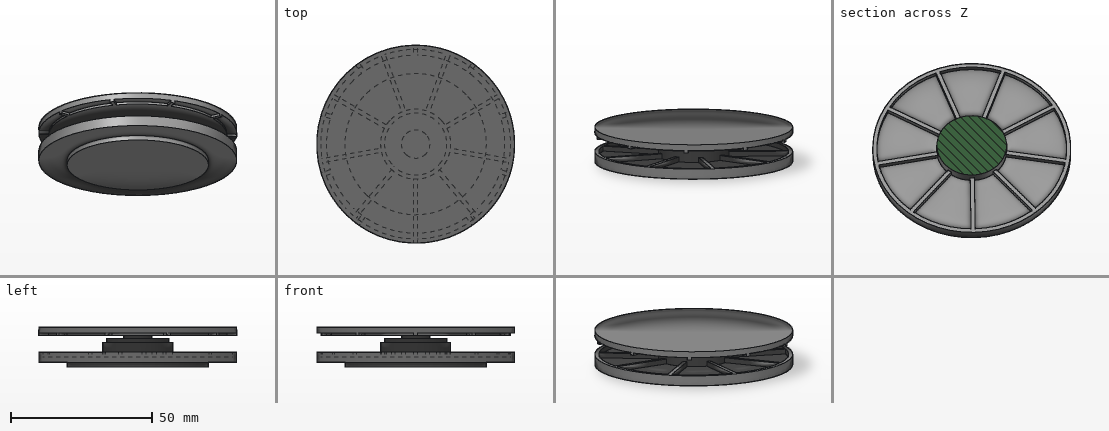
import cadquery as cq

plate_diameter = 70.0
first_rib_angle = -90.0

foot_diameter = 50.0
foot_height = 1.7

base_thickness = 3.65
hub_diameter = 24.8
hub_height = 3.35
rim_width = 1.5
pocket_depth = 1.75
base_rib_count = 9
base_rib_width = 1.5

bearing_diameter = 22.0
bearing_height = 1.5

neck_diameter = 10.0
neck_height = 1.0
step_diameter = 63.0
step_height = 0.85
top_thickness = 2.1
top_rib_count = 10
top_rib_width = 1.5

base_bottom = foot_height
base_top = base_bottom + base_thickness
hub_top = base_top + hub_height
bearing_top = hub_top + bearing_height
neck_top = bearing_top + neck_height
step_top = neck_top + step_height


def disc(diameter, height, bottom):
    """Solid disc on the Z axis, standing on the level `bottom`."""
    return cq.Workplane("XY").workplane(offset=bottom).circle(diameter / 2).extrude(height)


def radial_ribs(count, width, height, outer_diameter, bottom):
    """Evenly spaced straight ribs from the Z axis out to a round outer end."""
    radius = outer_diameter / 2
    ribs = cq.Workplane("XY")
    for index in range(count):
        angle = first_rib_angle + index * 360 / count
        rib = (
            cq.Workplane("XY")
            .box(radius, width, height, centered=(False, True, False))
            .rotate((0, 0, 0), (0, 0, 1), angle)
            .translate((0, 0, bottom))
        )
        ribs = ribs.union(rib)
    return ribs.intersect(disc(outer_diameter, height, bottom))


def make_foot():
    return disc(foot_diameter, foot_height, 0)


def make_base():
    """Plate whose top is recessed between the rim, the radial ribs and the hub."""
    pocket_floor = base_top - pocket_depth
    pocket_diameter = plate_diameter - 2 * rim_width
    plate = disc(plate_diameter, base_thickness, base_bottom)
    pockets = disc(pocket_diameter, pocket_depth, pocket_floor).cut(
        radial_ribs(base_rib_count, base_rib_width, pocket_depth, plate_diameter, pocket_floor)
    )
    hub = disc(hub_diameter, hub_top - pocket_floor, pocket_floor)
    return plate.cut(pockets).union(hub)


def make_bearing():
    return disc(bearing_diameter, bearing_height, hub_top)


def make_turntable():
    """Plate with a stepped underside, ribs across the step, and a neck below."""
    neck = disc(neck_diameter, neck_height, bearing_top)
    step = disc(step_diameter, step_height, neck_top)
    ribs = radial_ribs(top_rib_count, top_rib_width, step_height, plate_diameter, neck_top)
    plate = disc(plate_diameter, top_thickness, step_top)
    return plate.union(step).union(ribs).union(neck)


foot = make_foot()
base = make_base()
bearing = make_bearing()
turntable = make_turntable()

result = cq.Compound.makeCompound([foot.val(), base.val(), bearing.val(), turntable.val()])